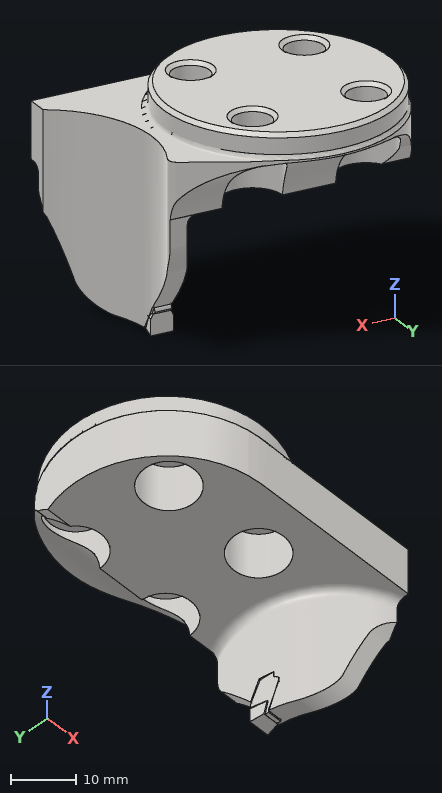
import cadquery as cq
import math

disc_radius = 20.0
disc_height = 3.5
disc_chamfer = 0.7
neck_radius = 1.0

flange_radius = 20.4
flange_top = -disc_height - neck_radius
flange_bottom = -14.35
side_y = -flange_radius
end_x = 32.05
back_wall_angle = 27.7
corner_radius = 1.5
side_tangent_x = -2.95
side_blend_start = -0.87
side_blend_end = 0.56

groove_radius = 19.25
groove_y = 0.3
inner_face_x = 22.18
outer_face_x = 18.68
blade_bottom = -37.42
blade_foot_radius = 1.5
blade_back_y = 9.8
front_drop_end = (side_y, -16.2)
front_round_middle = (-17.75, -19.3)
front_slope_start = (-16.2, -22.6)
front_slope_end = (-13.75, -32.3)
front_toe_middle = (-11.9, -35.7)
front_toe_end_y = -8.1
seat_foot_y = -2.0
back_slope_start = (0.35, -33.2)
back_slope_end = (7.5, -24.8)
back_round_middle = (9.2, -22.3)
back_round_end_z = -19.3
inner_axis_x = inner_face_x + groove_radius
outer_axis_x = outer_face_x + groove_radius

relief_radius = 10.7
relief_y = blade_back_y + relief_radius
relief_z = -15.3
bevel_top_y = 11.2
bevel_low_y = 6.9
bevel_end_x = -12.0

hole_diameter = 6.5
hole_circle_diameter = 28.0
hole_chamfer = 0.65
hole_count = 4
counterbore_diameter = 10.5
counterbore_floor = -4.7

insert_width = 4.0
insert_left = 18.37
insert_right = insert_left + insert_width
insert_bottom = -38.0
edge_y = 0.18
head_top = -34.4
head_heel_top_y = -3.0
head_heel_bottom = (-2.4, -37.73)
clearance_angle = 10.0
bevel_depth = 0.45
bevel_foot_z = -35.15
shank_rear_x = 18.82
shank_front_x = 19.3
shank_right = 21.8
shank_rear_y = 0.5
shank_rear_top = (0.42, -33.6)
shank_rear_foot_z = -34.0
shank_front_y = -5.0
shank_front_top = -31.1
shank_front_foot = -31.9
shank_top = -29.4
shank_top_rear_y = -1.46
shank_top_front_y = -4.12
shank_step_z = -30.4
heel = (-3.1, -37.65)

span = 120.0


def prism(outline, bottom, top):
    """Vertical prism from a closed XY outline."""
    return outline.extrude(top - bottom).translate((0, 0, bottom))


def upright(radius, x, y, bottom, top):
    """Vertical cylinder."""
    return cq.Workplane("XY", origin=(x, y, bottom)).circle(radius).extrude(top - bottom)


def plan_prism(bottom, top):
    """Flange outline, scooped by the groove radius, with a rounded rear corner."""
    angle = math.radians(90 - back_wall_angle)
    normal = (math.cos(angle), math.sin(angle))
    wall_start = (flange_radius * normal[0], flange_radius * normal[1])
    wall_end = (end_x, (flange_radius - end_x * normal[0]) / normal[1])
    side_start_y = -math.sqrt(flange_radius**2 - side_tangent_x**2)
    blend_corner_x = (side_blend_start + side_blend_end) / 2
    slope = (side_y - side_start_y) / (blend_corner_x - side_tangent_x)
    blend_start_y = side_start_y + slope * (side_blend_start - side_tangent_x)
    outline = (
        cq.Workplane("XY")
        .moveTo(side_blend_end, side_y)
        .lineTo(end_x, side_y)
        .lineTo(*wall_end)
        .lineTo(*wall_start)
        .threePointArc((-flange_radius, 0), (side_tangent_x, side_start_y))
        .lineTo(side_blend_start, blend_start_y)
        .tangentArcPoint((side_blend_end, side_y), relative=False)
        .close()
    )
    solid = prism(outline, bottom, top)
    solid = solid.cut(upright(groove_radius, inner_axis_x, groove_y, bottom, top))
    corner = cq.selectors.BoxSelector(
        (inner_face_x, 0, bottom),
        (end_x, flange_radius, top),
    )
    return solid.edges("|Z").edges(corner).fillet(corner_radius)


def make_disc():
    """Chamfered disc with a concave neck that runs out onto the flange."""
    disc = upright(disc_radius, 0, 0, flange_top, 0).faces(">Z").chamfer(disc_chamfer)
    dip = neck_radius * math.sqrt(0.5)
    outer = disc_radius + neck_radius
    neck = (
        cq.Workplane("XZ")
        .moveTo(0, -disc_height)
        .lineTo(disc_radius, -disc_height)
        .threePointArc((outer - dip, -disc_height - dip), (outer, flange_top))
        .lineTo(0, flange_top)
        .close()
        .revolve(360, (0, 0, 0), (0, 1, 0))
    )
    return disc.union(neck.intersect(plan_prism(flange_top, -disc_height)))


def make_flange():
    """Flange plate with the concave relief and bevel under its rear edge."""
    flange = plan_prism(flange_bottom, flange_top)
    relief = (
        cq.Workplane("YZ", origin=(-span / 2, relief_y, relief_z))
        .circle(relief_radius)
        .extrude(span)
    )
    bevel_top_z = flange_bottom + bevel_top_y - bevel_low_y
    outside_y = relief_y + flange_radius
    bevel = (
        cq.Workplane("YZ", origin=(-span / 2, 0, 0))
        .moveTo(bevel_low_y, flange_bottom)
        .lineTo(bevel_top_y, bevel_top_z)
        .lineTo(outside_y, bevel_top_z)
        .lineTo(outside_y, flange_bottom)
        .close()
        .extrude(bevel_end_x + span / 2)
    )
    return flange.cut(relief).cut(bevel)


def make_blade():
    """Curved blade hanging from the flange."""
    side = (
        cq.Workplane("YZ")
        .moveTo(side_y, flange_bottom)
        .lineTo(*front_drop_end)
        .threePointArc(front_round_middle, front_slope_start)
        .lineTo(*front_slope_end)
        .threePointArc(front_toe_middle, (front_toe_end_y, blade_bottom))
        .lineTo(seat_foot_y, blade_bottom)
        .lineTo(*back_slope_start)
        .lineTo(*back_slope_end)
        .threePointArc(back_round_middle, (blade_back_y, back_round_end_z))
        .lineTo(blade_back_y, flange_bottom)
        .close()
        .extrude(span)
    )
    dip = blade_foot_radius * math.sqrt(0.5)
    foot_z = flange_bottom - blade_foot_radius
    foot_edge = groove_radius + blade_foot_radius
    outer = (
        cq.Workplane("XZ", origin=(outer_axis_x, groove_y, 0))
        .moveTo(0, blade_bottom)
        .lineTo(groove_radius, blade_bottom)
        .lineTo(groove_radius, foot_z)
        .threePointArc((foot_edge - dip, foot_z + dip), (foot_edge, flange_bottom))
        .lineTo(0, flange_bottom)
        .close()
        .revolve(360, (0, 0, 0), (0, 1, 0))
    )
    return plan_prism(blade_bottom, flange_bottom).intersect(outer).intersect(side)


def drill_holes(body):
    """Through holes, countersunk at the disc face and counterbored from below."""
    for index in range(hole_count):
        angle = math.radians(45 + index * 360 / hole_count)
        x = hole_circle_diameter / 2 * math.cos(angle)
        y = hole_circle_diameter / 2 * math.sin(angle)
        radius = hole_diameter / 2
        body = body.cut(upright(radius, x, y, flange_bottom, 0))
        body = body.cut(upright(counterbore_diameter / 2, x, y, flange_bottom, counterbore_floor))
        mouth = cq.Solid.makeCone(
            radius, radius + hole_chamfer, hole_chamfer, cq.Vector(x, y, -hole_chamfer), cq.Vector(0, 0, 1)
        )
        body = body.cut(cq.Workplane(mouth))
    return body


def pocket_shape():
    """Pocket shape: the insert outline, reaching from outside the blade to the pocket floor."""
    return (
        cq.Workplane("YZ", origin=(insert_left, 0, 0))
        .polyline([
            (shank_top_rear_y, shank_top),
            (shank_top_front_y, shank_top),
            (shank_top_front_y, shank_step_z),
            (shank_front_y, shank_front_top),
            (shank_front_y, shank_front_foot),
            heel,
            (edge_y, insert_bottom),
            (edge_y, head_top),
            (shank_rear_y, shank_rear_foot_z),
            shank_rear_top,
        ])
        .close()
        .extrude(shank_right - insert_left)
    )


def make_insert():
    """Insert: flat shank in the blade pocket and a wider cutting head."""
    plan = (
        cq.Workplane("XY")
        .polyline([
            (shank_rear_x, shank_rear_y), (shank_front_x, shank_front_y),
            (shank_right, shank_front_y), (shank_right, shank_rear_y),
        ])
        .close()
    )
    shank = pocket_shape().intersect(prism(plan, insert_bottom, flange_bottom))
    head = (
        cq.Workplane("YZ", origin=(insert_left, 0, 0))
        .polyline([
            (edge_y, head_top),
            (head_heel_top_y, bevel_foot_z),
            head_heel_bottom,
            (edge_y, insert_bottom),
        ])
        .close()
        .extrude(insert_width)
    )
    clearance = (
        cq.Workplane("XZ", origin=(insert_left, edge_y, 0))
        .moveTo(0, insert_bottom)
        .lineTo(0, bevel_foot_z)
        .lineTo(bevel_depth, head_top)
        .lineTo(-insert_width, head_top)
        .lineTo(-insert_width, insert_bottom)
        .close()
        .extrude(insert_width)
        .rotate((insert_left, edge_y, 0), (insert_left, edge_y, 1), clearance_angle)
    )
    middle = ((insert_left + insert_right) / 2, 0, 0)
    head = head.cut(clearance).cut(clearance.mirror("YZ", middle))
    return shank.union(head)


insert = make_insert()
holder = make_disc().union(make_flange()).union(make_blade())
holder = drill_holes(holder)
holder = holder.cut(pocket_shape()).cut(insert)

result = cq.Compound.makeCompound([*holder.vals(), insert.val()])